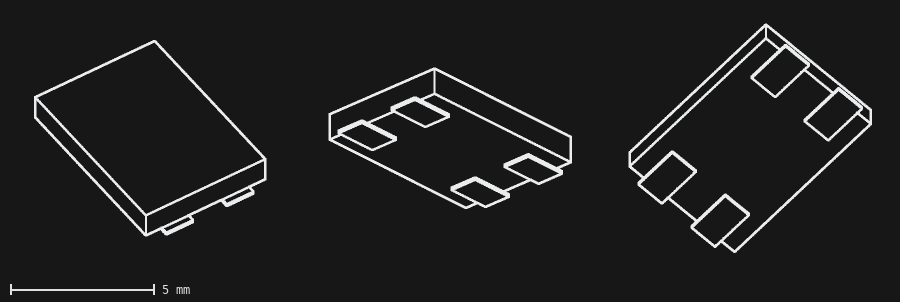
import cadquery as cq

overall_length = 7.52
overall_height = 1.1

body_length = 6.97
body_width = 5.0
body_height = 1.0

terminal_length = 1.73
terminal_width = 1.12
terminal_pitch = 2.53
terminal_thickness = overall_height - body_height


def make_body():
    """Plain block resting on top of the terminals."""
    return (
        cq.Workplane("XY")
        .workplane(offset=terminal_thickness)
        .rect(body_length, body_width)
        .extrude(body_height)
    )


def make_terminal(x_side, y_side):
    """Flat plate flush with one end of the overall length; sides are -1 or +1."""
    center_x = x_side * (overall_length - terminal_length) / 2
    center_y = y_side * terminal_pitch / 2
    return (
        cq.Workplane("XY")
        .center(center_x, center_y)
        .rect(terminal_length, terminal_width)
        .extrude(terminal_thickness)
    )


body = make_body()
terminals = [make_terminal(x_side, y_side) for x_side in (-1, 1) for y_side in (-1, 1)]

result = cq.Compound.makeCompound([body.val(), *[terminal.val() for terminal in terminals]])